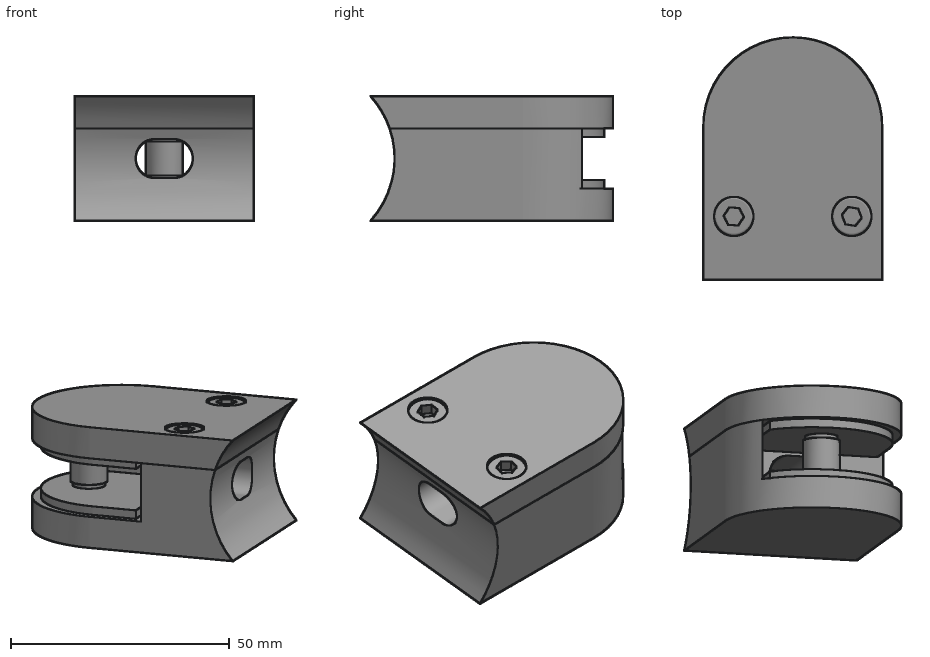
import cadquery as cq
import math

width = 41.0
nose_radius = width / 2
back_y = -35.0
height = 28.5

cheek_thickness = 7.35
gap_floor = cheek_thickness
gap_ceiling = height - cheek_thickness
gap_back_y = -12.5
side_wall_thickness = 5.0
side_wall_x = width / 2 - side_wall_thickness

post_radius = 21.2
half_height = height / 2
seat_centre_y = back_y - math.sqrt(post_radius**2 - half_height**2)

slot_length = 13.0
slot_height = 9.0

pad_margin = 2.0
pad_thickness = 2.0
pad_radius = nose_radius - pad_margin
pad_back_y = gap_back_y + pad_margin
pad_right_x = side_wall_x - pad_margin

pin_y = 8.0
pin_diameter = 8.5
pin_neck_diameter = 7.5
pin_neck_length = 1.0

screw_spacing = 27.0
screw_y = -20.5
head_diameter = 9.0
head_length = 5.0
head_recess = 0.2
head_rim_fillet = 0.6
socket_width = 4.0
socket_corner_width = socket_width / math.cos(math.radians(30))
socket_depth = 2.5
shank_diameter = 5.0
shank_end_z = 9.0
head_top_z = height - head_recess
head_seat_z = head_top_z - head_length
socket_angles = {-1: -3.0, 1: -9.0}


def cylinder(x, y, diameter, z_bottom, z_top):
    base = cq.Workplane("XY").workplane(offset=z_bottom).center(x, y)
    return base.circle(diameter / 2).extrude(z_top - z_bottom)


def d_block(radius, y_back, z_bottom, thickness):
    """D-shaped plate: straight sides up to the X axis, then a half-round nose."""
    return (
        cq.Workplane("XY")
        .workplane(offset=z_bottom)
        .moveTo(-radius, y_back)
        .lineTo(radius, y_back)
        .lineTo(radius, 0)
        .threePointArc((0, radius), (-radius, 0))
        .close()
        .extrude(thickness)
    )


def post_cylinder():
    return (
        cq.Workplane("YZ")
        .center(seat_centre_y, half_height)
        .circle(post_radius)
        .extrude(width, both=True)
    )


def screw_cutter(side):
    """Counterbore open at the top face and a blind shank hole below it."""
    x = side * screw_spacing / 2
    counterbore = cylinder(x, screw_y, head_diameter, head_seat_z, height)
    return counterbore.union(cylinder(x, screw_y, shank_diameter, shank_end_z, head_seat_z))


def cut_screw_holes(body):
    for side in socket_angles:
        body = body.cut(screw_cutter(side))
    return body


def make_housing():
    """Lower cheek, rear web and the wall closing the +X side of the gap."""
    body = d_block(nose_radius, back_y, 0, gap_ceiling)
    gap = cq.Workplane("XY").box(
        side_wall_x + width / 2,
        nose_radius - gap_back_y,
        gap_ceiling - gap_floor,
        centered=False,
    )
    body = body.cut(gap.translate((-width / 2, gap_back_y, gap_floor)))
    slot = (
        cq.Workplane("XZ", origin=(0, gap_back_y, half_height))
        .slot2D(slot_length, slot_height)
        .extrude(gap_back_y - back_y)
    )
    return cut_screw_holes(body.cut(slot).cut(post_cylinder()))


def make_cover():
    """Upper cheek plate."""
    body = d_block(nose_radius, back_y, gap_ceiling, cheek_thickness)
    return cut_screw_holes(body.cut(post_cylinder()))


def make_pad(z_bottom):
    """D-shaped pad trimmed flat beside the side wall."""
    body = d_block(pad_radius, pad_back_y, z_bottom, pad_thickness)
    keep = cq.Workplane("XY").box(
        pad_radius + pad_right_x,
        pad_radius - pad_back_y,
        pad_thickness,
        centered=False,
    )
    return body.intersect(keep.translate((-pad_radius, pad_back_y, z_bottom)))


def make_pin():
    """Pin with a narrower neck at each end."""
    bottom = gap_floor + pad_thickness
    top = gap_ceiling - pad_thickness
    core = cylinder(0, pin_y, pin_neck_diameter, bottom, top)
    barrel = cylinder(0, pin_y, pin_diameter, bottom + pin_neck_length, top - pin_neck_length)
    return core.union(barrel)


def make_screw(side):
    x = side * screw_spacing / 2
    head = cylinder(x, screw_y, head_diameter, head_seat_z, head_top_z)
    head = head.faces(">Z").edges().fillet(head_rim_fillet)
    socket = (
        cq.Workplane("XY")
        .polygon(6, socket_corner_width)
        .extrude(socket_depth)
        .rotate((0, 0, 0), (0, 0, 1), socket_angles[side])
        .translate((x, screw_y, head_top_z - socket_depth))
    )
    shank = cylinder(x, screw_y, shank_diameter, shank_end_z, head_seat_z)
    return head.union(shank).cut(socket)


housing = make_housing()
cover = make_cover()
pads = [make_pad(z) for z in (gap_floor, gap_ceiling - pad_thickness)]
pin = make_pin()
screws = [make_screw(side) for side in socket_angles]

bodies = [housing, cover, *pads, pin, *screws]
result = cq.Compound.makeCompound([body.val() for body in bodies])